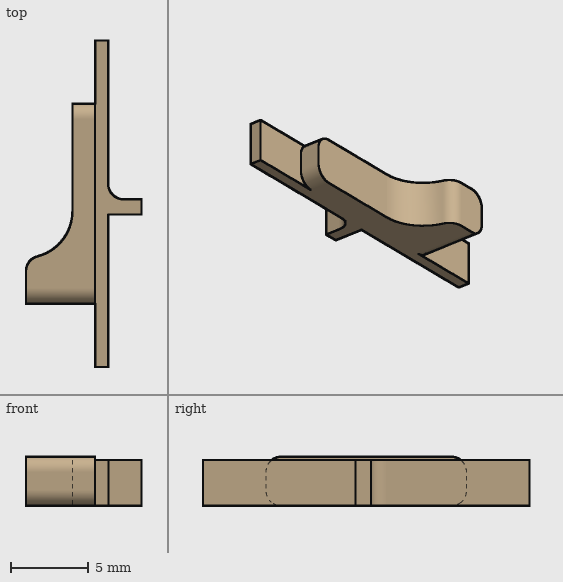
import cadquery as cq
import math

plate_length = 21.2
plate_thickness = 0.85
plate_height = 2.99

grip_length = 13.0
grip_height = 3.2
grip_reach = 4.5
edge_radius = 1.0
hollow_radius = 3.0
hollow_start_y = -0.49
nose_radius = 1.0

tab_reach = 2.16
tab_thickness = 1.0
tab_bottom_y = -0.7
tab_fillet = 1.0


def make_plate():
    return cq.Workplane("XY").box(
        plate_thickness, plate_length, plate_height, centered=(False, True, False)
    )


def make_grip():
    """Stepped block whose hollow arc blends tangentially into a rounded nose."""
    half_length = grip_length / 2
    hollow_x = -grip_reach
    shank_x = hollow_x + hollow_radius
    nose_x = -grip_reach + nose_radius
    center_distance = hollow_radius + nose_radius
    nose_y = hollow_start_y - math.sqrt(center_distance**2 - (nose_x - hollow_x) ** 2)
    blend_angle = math.atan2(nose_y - hollow_start_y, nose_x - hollow_x)
    nose_mid_angle = (blend_angle + 2 * math.pi) / 2

    def on_hollow(angle):
        return (
            hollow_x + hollow_radius * math.cos(angle),
            hollow_start_y + hollow_radius * math.sin(angle),
        )

    def on_nose(angle):
        return (
            nose_x + nose_radius * math.cos(angle),
            nose_y + nose_radius * math.sin(angle),
        )

    profile = (
        cq.Workplane("XY")
        .moveTo(0, -half_length)
        .lineTo(0, half_length)
        .lineTo(shank_x, half_length)
        .lineTo(shank_x, hollow_start_y)
        .threePointArc(on_hollow(blend_angle / 2), on_hollow(blend_angle))
        .threePointArc(on_nose(nose_mid_angle), on_nose(math.pi))
        .lineTo(-grip_reach, -half_length)
        .close()
        .extrude(grip_height)
    )
    rounded_bar = (
        cq.Workplane("XY")
        .box(grip_reach, grip_length, grip_height, centered=(False, True, False))
        .translate((-grip_reach, 0, 0))
        .edges("|X")
        .fillet(edge_radius)
    )
    return profile.intersect(rounded_bar)


def make_tab():
    """Straight tab with a fillet into the plate on its +Y side."""
    tab_top_y = tab_bottom_y + tab_thickness
    tab_end_x = plate_thickness + tab_reach
    fillet_x = plate_thickness + tab_fillet
    fillet_y = tab_top_y + tab_fillet
    arc_mid = (
        fillet_x - tab_fillet * math.cos(math.pi / 4),
        fillet_y - tab_fillet * math.sin(math.pi / 4),
    )
    return (
        cq.Workplane("XY")
        .moveTo(plate_thickness, tab_bottom_y)
        .lineTo(tab_end_x, tab_bottom_y)
        .lineTo(tab_end_x, tab_top_y)
        .lineTo(fillet_x, tab_top_y)
        .threePointArc(arc_mid, (plate_thickness, fillet_y))
        .close()
        .extrude(plate_height)
    )


result = make_plate().union(make_grip()).union(make_tab())